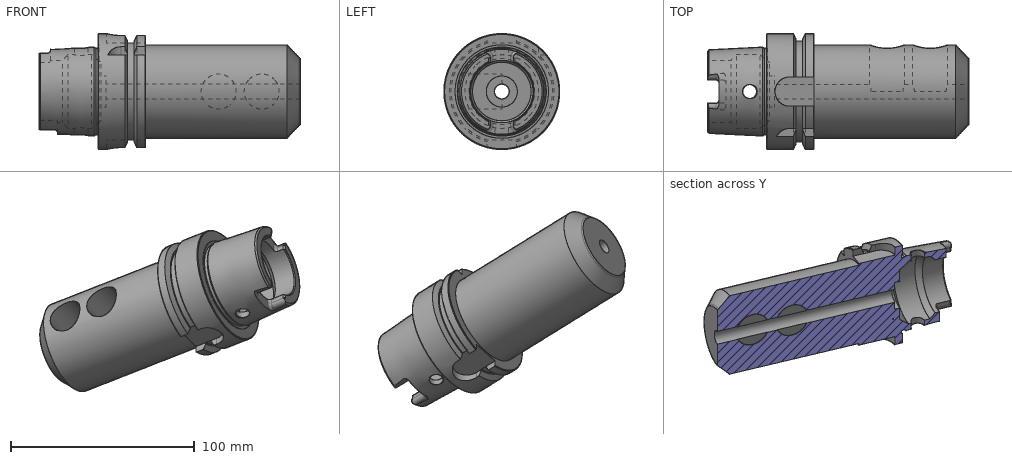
import cadquery as cq
import math

LENGTH = 142.0
FLANGE_FACE_X = 32.0
FLANGE_END_X = 58.0
NOSE_START_X = 134.8

TAPER_SMALL_RADIUS = 22.7
TAPER_END_X = 30.0
TAPER_SLOPE = 0.05
SHANK_EDGE_CHAMFER = 0.9
TAPER_LARGE_RADIUS = TAPER_SMALL_RADIUS + TAPER_SLOPE * TAPER_END_X

NECK_RADIUS = 23.6
NECK_START_X = 30.8
RECESS_RADIUS = 25.4
RECESS_DEPTH = 0.5

FLANGE_RADIUS = 31.5
FLANGE_EDGE_CHAMFER = 0.4
GROOVE_ROOT_RADIUS = 27.5
GROOVE_SHOULDER_RADIUS = 28.4
GROOVE_ROOT_START_X = 48.1
GROOVE_ROOT_END_X = 51.5
GROOVE_FLANK_LENGTH = 1.5

BODY_RADIUS = 25.4
NOSE_RADIUS = 18.6
NOSE_EDGE_CHAMFER = 0.7

BORE_RADIUS = 34.0 / 2
BORE_CHAMFER = 0.5
BORE_DEPTH = 12.6
CHAMBER_RADIUS = 40.0 / 2
CHAMBER_END_X = 28.4
FLOOR_RADIUS = 15.9
FLOOR_CONE_LENGTH = 2.1
FLOOR_X = CHAMBER_END_X + CHAMBER_RADIUS - BORE_RADIUS + FLOOR_CONE_LENGTH
COUNTERBORE_RADIUS = 16.9 / 2
COUNTERBORE_DEPTH = 2.8
AXIAL_HOLE_RADIUS = 8.0 / 2

DRIVE_SLOT_HALF_WIDTH = 6.2
DRIVE_SLOT_DEPTH_TOP = 6.1
DRIVE_SLOT_DEPTH_BOTTOM = 10.0
DRIVE_SLOT_FLOOR_FILLET = 1.5
DRIVE_SLOT_EDGE_CHAMFER = 0.9
LUG_SHOULDER_Z = 20.9
LUG_ROUNDING = 2.5

CROSS_HOLE_X = 22.9
CROSS_HOLE_RADIUS = 7.5 / 2
CROSS_HOLE_RIM_RADIUS = 8.2 / 2

KEY_SLOT_RADIUS = 8.0
KEY_SLOT_CENTER_X = 44.6
KEY_SLOT_FLOOR_Z = 26.4
NOTCH_WALL_Y = -20.0
NOTCH_FLOOR_Z = 19.9

SCREW_HOLE_RADIUS = 19.0 / 2
SCREW_HOLE_XS = (97.5, 121.0)

CLEARANCE = 7.1


def revolve_about_x(points):
    """Revolve a closed (x, radius) outline about the X axis."""
    return cq.Workplane("XY").polyline(points).close().revolve(360, (0, 0), (1, 0))


def outer_body():
    chamfered_radius = TAPER_SMALL_RADIUS + TAPER_SLOPE * SHANK_EDGE_CHAMFER
    recess_floor_x = FLANGE_FACE_X + RECESS_DEPTH
    return revolve_about_x([
        (0, 0),
        (0, chamfered_radius - SHANK_EDGE_CHAMFER),
        (SHANK_EDGE_CHAMFER, chamfered_radius),
        (TAPER_END_X, TAPER_LARGE_RADIUS),
        (NECK_START_X, NECK_RADIUS),
        (recess_floor_x, NECK_RADIUS),
        (recess_floor_x, RECESS_RADIUS),
        (FLANGE_FACE_X, RECESS_RADIUS),
        (FLANGE_FACE_X, FLANGE_RADIUS - FLANGE_EDGE_CHAMFER),
        (FLANGE_FACE_X + FLANGE_EDGE_CHAMFER, FLANGE_RADIUS),
        (GROOVE_ROOT_START_X - GROOVE_FLANK_LENGTH, FLANGE_RADIUS),
        (GROOVE_ROOT_START_X, GROOVE_SHOULDER_RADIUS),
        (GROOVE_ROOT_START_X, GROOVE_ROOT_RADIUS),
        (GROOVE_ROOT_END_X, GROOVE_ROOT_RADIUS),
        (GROOVE_ROOT_END_X, GROOVE_SHOULDER_RADIUS),
        (GROOVE_ROOT_END_X + GROOVE_FLANK_LENGTH, FLANGE_RADIUS),
        (FLANGE_END_X - FLANGE_EDGE_CHAMFER, FLANGE_RADIUS),
        (FLANGE_END_X, FLANGE_RADIUS - FLANGE_EDGE_CHAMFER),
        (FLANGE_END_X, BODY_RADIUS),
        (NOSE_START_X, BODY_RADIUS),
        (LENGTH - NOSE_EDGE_CHAMFER, NOSE_RADIUS),
        (LENGTH, NOSE_RADIUS - NOSE_EDGE_CHAMFER),
        (LENGTH, 0),
    ])


def axial_bores():
    """Chamfered bore, wider chamber, coned floor, counterbore and through hole."""
    return revolve_about_x([
        (0, 0),
        (0, BORE_RADIUS + BORE_CHAMFER),
        (BORE_CHAMFER, BORE_RADIUS),
        (BORE_DEPTH, BORE_RADIUS),
        (BORE_DEPTH + CHAMBER_RADIUS - BORE_RADIUS, CHAMBER_RADIUS),
        (CHAMBER_END_X, CHAMBER_RADIUS),
        (FLOOR_X, FLOOR_RADIUS),
        (FLOOR_X, COUNTERBORE_RADIUS),
        (FLOOR_X + COUNTERBORE_DEPTH, COUNTERBORE_RADIUS),
        (FLOOR_X + COUNTERBORE_DEPTH, AXIAL_HOLE_RADIUS),
        (LENGTH, AXIAL_HOLE_RADIUS),
        (LENGTH, 0),
    ])


def drive_slot(depth):
    """Slot on the +Z side, open outward over the rounded shoulders of the lugs."""
    half = DRIVE_SLOT_HALF_WIDTH
    bend_z = LUG_SHOULDER_Z - LUG_ROUNDING
    shoulder_y = half + LUG_ROUNDING
    arc_y = shoulder_y - LUG_ROUNDING * math.sqrt(0.5)
    arc_z = bend_z + LUG_ROUNDING * math.sqrt(0.5)
    outer_y = shoulder_y + CLEARANCE
    outer_z = TAPER_SMALL_RADIUS + CLEARANCE
    slot = (
        cq.Workplane("YZ")
        .moveTo(-half, 0)
        .lineTo(half, 0)
        .lineTo(half, bend_z)
        .threePointArc((arc_y, arc_z), (shoulder_y, LUG_SHOULDER_Z))
        .lineTo(outer_y, LUG_SHOULDER_Z)
        .lineTo(outer_y, outer_z)
        .lineTo(-outer_y, outer_z)
        .lineTo(-outer_y, LUG_SHOULDER_Z)
        .lineTo(-shoulder_y, LUG_SHOULDER_Z)
        .threePointArc((-arc_y, arc_z), (-half, bend_z))
        .close()
        .extrude(depth)
        .faces(">X")
        .edges()
        .fillet(DRIVE_SLOT_FLOOR_FILLET)
    )
    mouth_half = half + DRIVE_SLOT_EDGE_CHAMFER
    mouth = (
        cq.Workplane("XY")
        .polyline([
            (0, -mouth_half),
            (0, mouth_half),
            (DRIVE_SLOT_EDGE_CHAMFER, half),
            (DRIVE_SLOT_EDGE_CHAMFER, -half),
        ])
        .close()
        .extrude(bend_z)
    )
    return slot.union(mouth)


def cross_hole():
    """Hole along Z through both walls of the shank, with a small bevel at each mouth."""
    mouth_z = TAPER_SMALL_RADIUS + TAPER_SLOPE * CROSS_HOLE_X
    bevel = CROSS_HOLE_RIM_RADIUS - CROSS_HOLE_RADIUS
    half_outline = [
        (0, 0),
        (CROSS_HOLE_RADIUS, 0),
        (CROSS_HOLE_RADIUS, mouth_z - bevel),
        (CROSS_HOLE_RIM_RADIUS, mouth_z),
        (CROSS_HOLE_RIM_RADIUS, mouth_z + CLEARANCE),
        (0, mouth_z + CLEARANCE),
    ]
    half_hole = cq.Workplane("XZ").polyline(half_outline).close().revolve(360, (0, 0), (0, 1))
    return half_hole.union(half_hole.mirror("XY")).translate((CROSS_HOLE_X, 0, 0))


def round_ended_slot(center_y, floor_z):
    """Slot cutter above floor_z, rounded at its -X end and open at the +X end of the flange."""
    height = FLANGE_RADIUS + CLEARANCE - floor_z
    run = FLANGE_END_X - KEY_SLOT_CENTER_X
    round_end = (
        cq.Workplane("XY", origin=(KEY_SLOT_CENTER_X, center_y, floor_z))
        .circle(KEY_SLOT_RADIUS)
        .extrude(height)
    )
    straight = (
        cq.Workplane("XY", origin=(KEY_SLOT_CENTER_X + run / 2, center_y, floor_z))
        .rect(run, 2 * KEY_SLOT_RADIUS)
        .extrude(height)
    )
    return round_end.union(straight)


def screw_hole(x):
    """Radial hole from the +Y side down to the axis."""
    return (
        cq.Workplane("XZ", origin=(x, 0, 0))
        .circle(SCREW_HOLE_RADIUS)
        .extrude(-(BODY_RADIUS + CLEARANCE))
    )


result = outer_body().cut(axial_bores())

result = result.cut(drive_slot(DRIVE_SLOT_DEPTH_TOP))
result = result.cut(drive_slot(DRIVE_SLOT_DEPTH_BOTTOM).mirror("XY"))
result = result.cut(cross_hole())

key_slot = round_ended_slot(0, KEY_SLOT_FLOOR_Z)
result = result.cut(key_slot).cut(key_slot.mirror("XY"))
result = result.cut(round_ended_slot(NOTCH_WALL_Y - KEY_SLOT_RADIUS, NOTCH_FLOOR_Z))

for hole_x in SCREW_HOLE_XS:
    result = result.cut(screw_hole(hole_x))